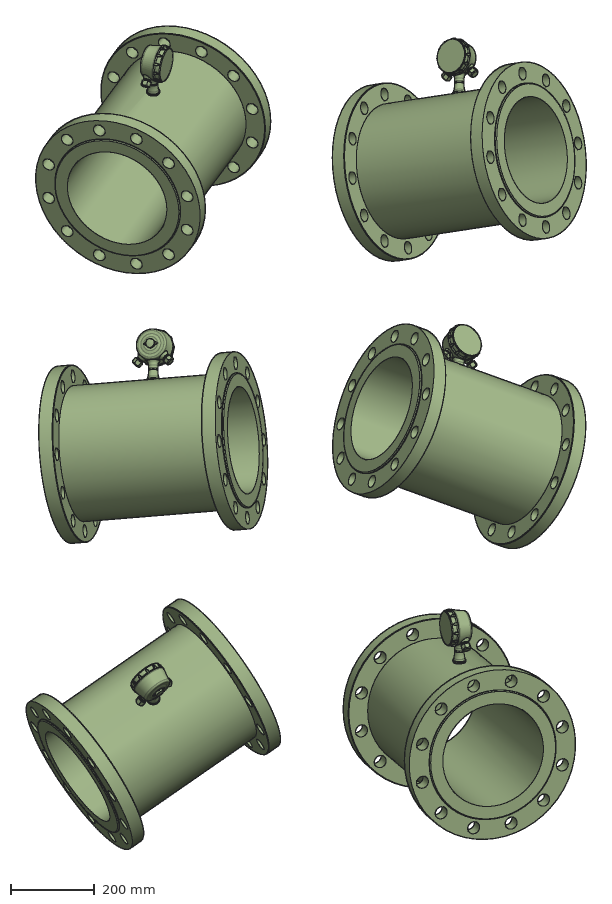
import cadquery as cq
import math

overall_length = 450.0
pipe_diameter = 326
raised_face_diameter = 324.0
bore_diameter = 257.0
flange_diameter = 425.0
flange_thickness = 35.0
flange_edge_chamfer = 1.5
raised_face_height = 4.5
raised_face_chamfer = 2.5
bolt_count = 12
bolt_hole_diameter = 30.0
bolt_circle_diameter = 370.0

pipe_radius = pipe_diameter / 2
raised_face_radius = raised_face_diameter / 2
flange_radius = flange_diameter / 2
half_length = overall_length / 2
flange_outer_y = half_length - raised_face_height
flange_inner_y = flange_outer_y - flange_thickness

overall_height = 510
ridge_radius = 45.5
head_z = overall_height - flange_radius - ridge_radius

housing_front_x = -19.5
housing_front_radius = 37.5
housing_edge_fillet = 5.0
housing_mid_radius = 40.5

rim_front_x = 15.5
rim_back_x = 18.0
rim_radius = 88.0 / 2
cap_radius = 83.5 / 2
cap_back_radius = 81.0 / 2
cap_front_x = 21.0
cap_chamfer_x = 32.0
cap_back_x = 34.5

ridge_count = 12
ridge_width = 5.5
ridge_crest_end_x = 21.5
ridge_end_radius = 43.5
ridge_root_radius = 37.5
ridge_taper_x = 25.5

boss_base_radius = 25.0
boss_top_radius = 17.5
boss_height = 1.5
pointer_half_span = 18.0
pointer_half_width = 11.5
pointer_height = 1.5
knob_radius = 22.0 / 2
knob_front_x = -27.0
knob_tip_height = 1.5

gland_x = -2.3
gland_angle = 45
gland_root_radius = 14.5
gland_root_start = 35.5
gland_root_end = 44.5
gland_boss_radius = 17.0 / 2
gland_boss_end = 46.5
gland_neck_radius = 16.0 / 2
nut_start = 49.0
nut_end = 62.5
nut_corner_diameter = 23.5
nut_end_radius = 8.0
nut_taper_length = 3.0

stem_root_z = 153
stem_base_radius = 14.5
collar_radius = 16.0
collar_bottom_z = 165.0
collar_top_z = 168.5
flare_bottom_z = 174.0
flare_bottom_radius = 13.0
flare_mid_z = 180.0
flare_mid_radius = 12.0
stem_radius = 23.5 / 2
groove_radius = 21.0 / 2
groove_bottom_z = 190.5
groove_top_z = 194.0
shoulder_z = 201.5
neck_mid_z = 208.5
neck_mid_radius = 12.5
neck_top_z = 213.5
neck_top_radius = 16.5


def revolve_about_y(profile):
    """Turn a closed (radius, y) profile around the pipe axis."""
    return profile.close().revolve(360, (0, 0, 0), (0, 1, 0))


def revolve_about_head_axis(profile):
    """Turn a closed (x, radius) profile around X, then lift it to the head axis."""
    return profile.close().revolve(360, (0, 0, 0), (1, 0, 0)).translate((0, 0, head_z))


def make_pipe():
    half_outline = [
        (pipe_radius, flange_inner_y),
        (flange_radius - flange_edge_chamfer, flange_inner_y),
        (flange_radius, flange_inner_y + flange_edge_chamfer),
        (flange_radius, flange_outer_y),
        (raised_face_radius, flange_outer_y),
        (raised_face_radius, half_length - raised_face_chamfer),
        (raised_face_radius - raised_face_chamfer, half_length),
        (0, half_length),
    ]
    mirrored_outline = [(radius, -y) for radius, y in reversed(half_outline)]
    body = revolve_about_y(cq.Workplane("XY").polyline(mirrored_outline + half_outline))
    bolt_holes = (
        cq.Workplane("XZ", origin=(0, half_length, 0))
        .polarArray(bolt_circle_diameter / 2, 180 / bolt_count, 360, bolt_count)
        .circle(bolt_hole_diameter / 2)
        .extrude(overall_length)
    )
    return body.cut(bolt_holes)


def make_bore():
    return cq.Workplane("XZ", origin=(0, half_length, 0)).circle(bore_diameter / 2).extrude(overall_length)


def make_housing():
    fillet_end_x = housing_front_x + housing_edge_fillet
    fillet_inset = housing_edge_fillet * (1 - math.sqrt(0.5))
    profile = (
        cq.Workplane("XY")
        .moveTo(housing_front_x, 0)
        .lineTo(housing_front_x, housing_front_radius - housing_edge_fillet)
        .threePointArc(
            (housing_front_x + fillet_inset, housing_front_radius - fillet_inset),
            (fillet_end_x, housing_front_radius),
        )
        .threePointArc(
            ((fillet_end_x + rim_front_x) / 2, housing_mid_radius),
            (rim_front_x, rim_radius),
        )
        .lineTo(rim_back_x, rim_radius)
        .lineTo(cap_front_x, cap_radius)
        .lineTo(cap_chamfer_x, cap_radius)
        .lineTo(cap_back_x, cap_back_radius)
        .lineTo(cap_back_x, 0)
    )
    return revolve_about_head_axis(profile)


def make_cap_ridges():
    """Grip ridges around the cap, each narrowing to a point and sloping down toward the back."""
    half_width = ridge_width / 2
    plan_outline = [
        (rim_back_x, -half_width),
        (ridge_taper_x, -half_width),
        (cap_chamfer_x, 0),
        (ridge_taper_x, half_width),
        (rim_back_x, half_width),
    ]
    side_outline = [
        (rim_back_x, ridge_root_radius),
        (rim_back_x, ridge_radius),
        (ridge_crest_end_x, ridge_radius),
        (cap_chamfer_x, ridge_end_radius),
        (cap_chamfer_x, ridge_root_radius),
    ]
    plan = cq.Workplane("XY").polyline(plan_outline).close().extrude(ridge_radius)
    side = cq.Workplane("XZ").polyline(side_outline).close().extrude(half_width, both=True)
    ridge = plan.intersect(side)
    ridges = cq.Workplane("XY")
    for index in range(ridge_count):
        angle = index * 360 / ridge_count
        ridges = ridges.union(ridge.rotate((0, 0, 0), (1, 0, 0), angle))
    return ridges.translate((0, 0, head_z))


def make_knob():
    boss_front_x = housing_front_x - boss_height
    profile = [
        (housing_front_x + boss_height, 0),
        (housing_front_x + boss_height, boss_base_radius),
        (housing_front_x, boss_base_radius),
        (boss_front_x, boss_top_radius),
        (boss_front_x, knob_radius),
        (knob_front_x, knob_radius),
        (knob_front_x - knob_tip_height, 0),
    ]
    pointer_outline = [
        (pointer_half_span, 0),
        (0, pointer_half_width),
        (-pointer_half_span, 0),
        (0, -pointer_half_width),
    ]
    pointer = (
        cq.Workplane("YZ", origin=(boss_front_x - pointer_height, 0, head_z))
        .polyline(pointer_outline)
        .close()
        .extrude(pointer_height + boss_height)
    )
    return revolve_about_head_axis(cq.Workplane("XY").polyline(profile)).union(pointer)


def make_gland():
    """One gland along +Z from the head axis, before it is tilted."""
    body = (
        cq.Workplane("XY")
        .circle(gland_boss_radius)
        .extrude(gland_boss_end)
        .union(cq.Workplane("XY").circle(gland_neck_radius).extrude(nut_end))
    )
    root_cone = (
        cq.Workplane("XZ")
        .moveTo(0, gland_root_start)
        .lineTo(gland_root_radius, gland_root_start)
        .lineTo(gland_boss_radius, gland_root_end)
        .lineTo(0, gland_root_end)
        .close()
        .revolve(360, (0, 0, 0), (0, 1, 0))
    )
    nut_length = nut_end - nut_start
    nut = (
        cq.Workplane("XY", origin=(0, 0, nut_start))
        .polygon(6, nut_corner_diameter)
        .extrude(nut_length)
    )
    corner_radius = nut_corner_diameter / 2
    taper_envelope = (
        cq.Workplane("XZ")
        .moveTo(0, nut_start)
        .lineTo(corner_radius, nut_start)
        .lineTo(corner_radius, nut_end - nut_taper_length)
        .lineTo(nut_end_radius, nut_end)
        .lineTo(0, nut_end)
        .close()
        .revolve(360, (0, 0, 0), (0, 1, 0))
    )
    return body.union(root_cone).union(nut.intersect(taper_envelope))


def make_glands():
    gland = make_gland()
    glands = cq.Workplane("XY")
    for side in (-1, 1):
        tilt = side * (180 - gland_angle)
        glands = glands.union(gland.rotate((0, 0, 0), (1, 0, 0), tilt))
    return glands.translate((gland_x, 0, head_z))


def make_stem():
    profile = (
        cq.Workplane("XZ")
        .moveTo(0, stem_root_z)
        .lineTo(stem_base_radius, stem_root_z)
        .lineTo(stem_base_radius, collar_bottom_z)
        .lineTo(collar_radius, collar_bottom_z)
        .lineTo(collar_radius, collar_top_z)
        .lineTo(stem_base_radius, collar_top_z)
        .lineTo(flare_bottom_radius, flare_bottom_z)
        .threePointArc((flare_mid_radius, flare_mid_z), (stem_radius, groove_bottom_z))
        .lineTo(groove_radius, groove_bottom_z)
        .lineTo(groove_radius, groove_top_z)
        .lineTo(stem_radius, groove_top_z)
        .lineTo(stem_radius, shoulder_z)
        .threePointArc((neck_mid_radius, neck_mid_z), (neck_top_radius, neck_top_z))
        .lineTo(neck_top_radius, head_z)
        .lineTo(0, head_z)
        .close()
    )
    return profile.revolve(360, (0, 0, 0), (0, 1, 0))


result = (
    make_pipe()
    .union(make_stem())
    .union(make_housing())
    .union(make_cap_ridges())
    .union(make_knob())
    .union(make_glands())
    .cut(make_bore())
)